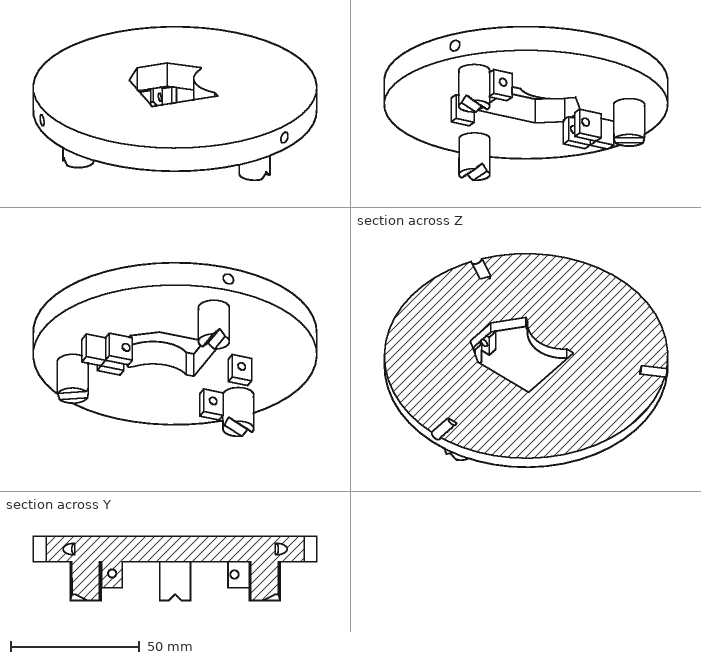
import cadquery as cq
import math

disc_diameter = 110.0
disc_thickness = 10.0
disc_radius = disc_diameter / 2

post_diameter = 12.0
post_length = 15.0
post_circle_radius = 40.0
post_angles = (30, 150, 270)
groove_depth = 2.5

rim_hole_diameter = 4.3
rim_hole_depth = 10.0

window_left = -21.7
window_right = 13.1
window_bottom = -14.3
window_top = 12.8
window_left_low = -7.5
window_left_high = 4.9
window_bottom_start = -12.3
window_peak = (-13.1, 15.8)
bulge_radius = 14.0
bulge_center_y = 22.7
bulge_left_end_x = -11.4

lug_height = 10.0
lug_thickness = 4.0
lug_inner_x = 20.4
left_lug_outer_x = 30.0
right_lug_outer_x = 28.5
left_lug_gap = 4.7
left_web_outer_x = 38.0
right_lug_starts = (-8.7, 20.6)

left_hole_diameter = 3.2
left_hole_x = -23.0
left_hole_drop = 4.85
right_hole_diameter = 3.1
right_hole_x = 24.4
right_hole_drop = 4.45


def box_between(x_range, y_range, z_range):
    """Box spanning the given (low, high) ranges."""
    size = [high - low for low, high in (x_range, y_range, z_range)]
    corner = (x_range[0], y_range[0], z_range[0])
    return cq.Workplane("XY").box(*size, centered=False).translate(corner)


def make_window():
    """Through opening with a round bulge on its +Y side."""
    bulge_lowest = bulge_center_y - bulge_radius
    bulge_right_end_x = math.sqrt(bulge_radius**2 - (bulge_center_y - window_top) ** 2)
    bulge_left_end_y = bulge_center_y - math.sqrt(bulge_radius**2 - bulge_left_end_x**2)
    return (
        cq.Workplane("XY")
        .moveTo(window_left, window_left_low)
        .lineTo(window_bottom_start, window_bottom)
        .lineTo(window_right, window_bottom)
        .lineTo(window_right, window_top)
        .lineTo(bulge_right_end_x, window_top)
        .threePointArc((0, bulge_lowest), (bulge_left_end_x, bulge_left_end_y))
        .lineTo(*window_peak)
        .lineTo(window_left, window_left_high)
        .close()
        .extrude(disc_thickness)
    )


def make_post():
    """Post on the +X axis, with the V groove along X."""
    post = (
        cq.Workplane("XY")
        .center(post_circle_radius, 0)
        .circle(post_diameter / 2)
        .extrude(-post_length)
    )
    groove = (
        cq.Workplane("YZ", origin=(post_circle_radius, 0, -post_length))
        .polyline([(-groove_depth, 0), (0, groove_depth), (groove_depth, 0)])
        .close()
        .extrude(post_diameter / 2, both=True)
    )
    return post.cut(groove)


def make_rim_hole():
    """Blind hole running inward from the rim along X."""
    return (
        cq.Workplane("YZ", origin=(disc_radius - rim_hole_depth, 0, disc_thickness / 2))
        .circle(rim_hole_diameter / 2)
        .extrude(rim_hole_depth)
    )


def make_cross_hole(diameter, x, drop):
    """Hole along Y, a given drop below the underside of the disc."""
    return (
        cq.Workplane("XZ", origin=(x, 0, -drop))
        .circle(diameter / 2)
        .extrude(disc_radius, both=True)
    )


def make_left_lugs():
    """Two parallel lugs joined by a web on their outer side."""
    z_range = (-lug_height, 0)
    half_gap = left_lug_gap / 2
    lugs = box_between((-left_web_outer_x, -left_lug_outer_x), (-half_gap, half_gap), z_range)
    for start in (half_gap, -half_gap - lug_thickness):
        y_range = (start, start + lug_thickness)
        lugs = lugs.union(box_between((-left_lug_outer_x, -lug_inner_x), y_range, z_range))
    return lugs.cut(make_cross_hole(left_hole_diameter, left_hole_x, left_hole_drop))


def make_right_lugs():
    """Two separate lugs sharing one hole axis."""
    x_range = (lug_inner_x, right_lug_outer_x)
    z_range = (-lug_height, 0)
    first_start, second_start = right_lug_starts
    lugs = box_between(x_range, (first_start, first_start + lug_thickness), z_range)
    lugs = lugs.union(box_between(x_range, (second_start, second_start + lug_thickness), z_range))
    return lugs.cut(make_cross_hole(right_hole_diameter, right_hole_x, right_hole_drop))


result = cq.Workplane("XY").circle(disc_radius).extrude(disc_thickness)
result = result.cut(make_window())
result = result.union(make_left_lugs())
result = result.union(make_right_lugs())
for angle in post_angles:
    result = result.union(make_post().rotate((0, 0, 0), (0, 0, 1), angle))
    result = result.cut(make_rim_hole().rotate((0, 0, 0), (0, 0, 1), angle))